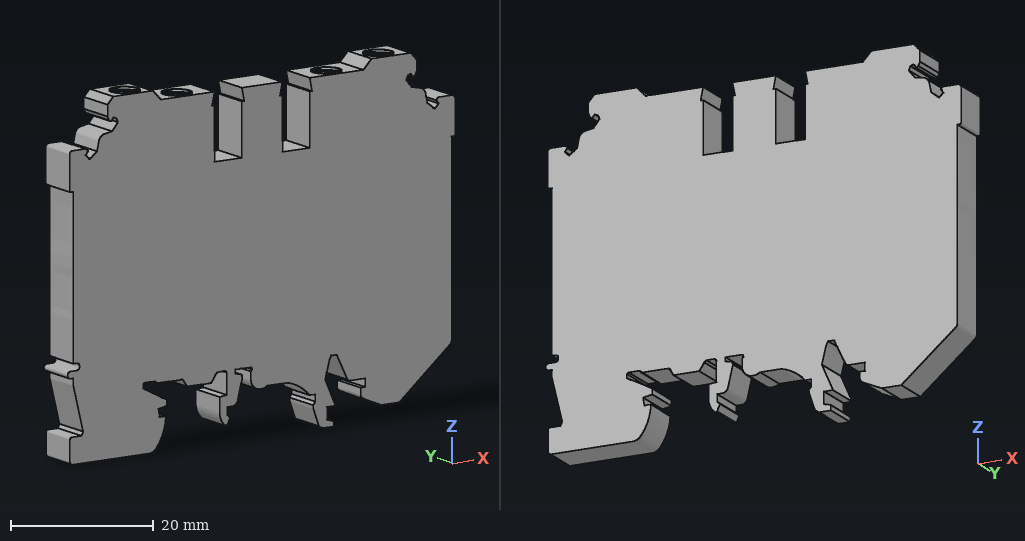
import cadquery as cq
import math

LENGTH = 65.35
THICKNESS = 6.0
HEIGHT = 52.0

MID_X = 32.8
WALL_LEFT = 1.0
WALL_RIGHT = 64.75
HEAD_LEFT = 0.3
HEAD_INNER_X = 19.6
DECK_Z = 50.6
HEAD_BASE_Z = 39.15
HEAD_BASE_ROUND = 0.25
SHOULDER_Z = 45.1
SHOULDER_ROUND = 0.5
CEILING_Z = 10.25
LEDGE_Z = 5.0

SLOT_WIDTH = 4.6
SLOT_PITCH = 11.45
SLOT_FLOOR_Z = 40.5
UNDERCUT_Z = 48.6
UNDERCUT = 0.4

GROOVE_TOP_Z = 14.5
LIP_TOP_Z = 13.45
LIP_BOTTOM_Z = 12.4
GROOVE_END_X = 2.0
FOOT_LEFT = 0.4
FOOT_INNER_X = 13.1
FOOT_ROUND = 0.5
INSTEP_Z = 4.0
INSTEP_ROUND = 0.3

OFFSET_Y = -0.295
SCREW_RADIUS = 2.15
SCREW_SLOT_WIDTH = 1.2
SCREW_SLOT_ANGLE = -45
OUTER_SCREW_DISTANCE = 21.4
INNER_SCREW_DISTANCE = 12.6
ENTRY_INNER_WIDTH = 3.7
SHALLOW = 0.05
WIRE_ENTRIES = [
    {"rim": (29.7, 38.8), "floor": (31.7, 36.85)},
    {"rim": (20.85, 28.05), "floor": (21.9, 26.8)},
]


def prism(outline):
    """Extrude a closed outline drawn in the XZ plane through the full thickness."""
    return outline.close().extrude(THICKNESS / 2, both=True)


def polygon(points):
    return prism(cq.Workplane("XZ").polyline(points))


def mirrored(solid):
    """Reflect a solid across the plane between the two terminal heads."""
    return solid.mirror("YZ", (MID_X, 0, 0))


def housing():
    """Plain middle of the part, leaving room for the terminal heads and the foot."""
    return polygon([
        (FOOT_INNER_X, CEILING_Z),
        (FOOT_INNER_X, LIP_BOTTOM_Z),
        (WALL_LEFT, LIP_BOTTOM_Z),
        (WALL_LEFT, HEAD_BASE_Z),
        (HEAD_INNER_X, HEAD_BASE_Z),
        (HEAD_INNER_X, DECK_Z),
        (2 * MID_X - HEAD_INNER_X, DECK_Z),
        (2 * MID_X - HEAD_INNER_X, HEAD_BASE_Z),
        (WALL_RIGHT, HEAD_BASE_Z),
        (WALL_RIGHT, CEILING_Z),
    ])


def terminal_head(outer_x):
    """Left terminal head with its two marker-latch notches and the rounded step between them."""
    outline = (
        cq.Workplane("XZ")
        .moveTo(HEAD_INNER_X, HEAD_BASE_Z)
        .lineTo(outer_x + HEAD_BASE_ROUND, HEAD_BASE_Z)
        .radiusArc((outer_x, HEAD_BASE_Z + HEAD_BASE_ROUND), HEAD_BASE_ROUND)
        .lineTo(outer_x, SHOULDER_Z - SHOULDER_ROUND)
        .radiusArc((outer_x + SHOULDER_ROUND, SHOULDER_Z), SHOULDER_ROUND)
        .lineTo(2.8, SHOULDER_Z)
        .threePointArc((3.2, 45.0), (3.45, 44.7))
        .lineTo(3.1, 44.2)
        .lineTo(3.7, 43.5)
        .lineTo(4.95, 44.5)
        .lineTo(5.2, 45.75)
        .threePointArc((5.6, 46.5), (6.4, 46.85))
        .lineTo(7.5, 47.05)
        .lineTo(8.5, 48.2)
        .lineTo(8.25, 48.8)
        .lineTo(7.8, 49.0)
        .lineTo(7.3, 48.5)
        .lineTo(7.0, 48.7)
        .lineTo(6.7, 49.3)
        .lineTo(6.7, 51.0)
        .lineTo(7.7, HEIGHT)
        .lineTo(14.4, HEIGHT)
        .lineTo(15.75, DECK_Z)
        .lineTo(HEAD_INNER_X, DECK_Z)
    )
    return prism(outline)


def bridge_slot(center_x):
    """Deck slot whose sides flare below the deck and then step back in."""
    half = SLOT_WIDTH / 2
    right_side = [
        (half, DECK_Z),
        (half + UNDERCUT, UNDERCUT_Z),
        (half, UNDERCUT_Z),
        (half, SLOT_FLOOR_Z),
    ]
    left_side = [(-x, z) for x, z in reversed(right_side)]
    return polygon([(center_x + x, z) for x, z in right_side + left_side])


def foot():
    """Left foot: tapered leg, broad sole and the hook that grips the rail."""
    outline = (
        cq.Workplane("XZ")
        .moveTo(WALL_LEFT, LIP_BOTTOM_Z)
        .lineTo(WALL_LEFT, 11.3)
        .lineTo(2.6, 4.6)
        .lineTo(2.35, INSTEP_Z)
        .lineTo(FOOT_LEFT + INSTEP_ROUND, INSTEP_Z)
        .radiusArc((FOOT_LEFT, INSTEP_Z - INSTEP_ROUND), -INSTEP_ROUND)
        .lineTo(FOOT_LEFT, FOOT_ROUND)
        .radiusArc((FOOT_LEFT + FOOT_ROUND, 0), -FOOT_ROUND)
        .lineTo(13.7, 0)
        .threePointArc((14.5, 0.2), (15.0, 0.65))
        .threePointArc((16.2, 2.9), (16.6, LEDGE_Z))
        .lineTo(15.55, LEDGE_Z)
        .lineTo(15.35, 6.2)
        .lineTo(16.8, 6.5)
        .lineTo(16.8, 7.4)
        .lineTo(12.8, 9.5)
        .lineTo(12.8, 10.05)
        .lineTo(FOOT_INNER_X, CEILING_Z)
        .lineTo(FOOT_INNER_X, LIP_BOTTOM_Z)
    )
    return prism(outline)


def round_ended_bar(start_x, end_x, bottom_z, top_z):
    """Bar along X whose end at `end_x` is a half circle; `end_x` may lie to either side."""
    radius = (top_z - bottom_z) / 2
    arc_x = end_x - math.copysign(radius, end_x - start_x)
    outline = (
        cq.Workplane("XZ")
        .moveTo(start_x, bottom_z)
        .lineTo(arc_x, bottom_z)
        .threePointArc((end_x, bottom_z + radius), (arc_x, top_z))
        .lineTo(start_x, top_z)
    )
    return prism(outline)


def ceiling_step():
    """Two-level pad hanging from the ceiling beside the foot."""
    return polygon([
        (14.8, CEILING_Z),
        (15.1, 9.95),
        (19.4, 9.95),
        (19.85, 9.3),
        (20.1, 8.8),
        (24.2, 8.8),
        (24.6, 9.35),
        (24.95, CEILING_Z - 0.25),
        (25.3, CEILING_Z),
    ])


def left_hook():
    """Slim hook with a pointed tip."""
    outline = (
        cq.Workplane("XZ")
        .moveTo(26.6, CEILING_Z)
        .lineTo(26.85, CEILING_Z - 0.25)
        .lineTo(26.85, 6.8)
        .lineTo(25.6, 6.65)
        .lineTo(25.6, 4.4)
        .threePointArc((25.95, 3.2), (26.65, 2.35))
        .lineTo(27.0, 2.5)
        .lineTo(27.45, 3.5)
        .lineTo(27.0, 3.9)
        .lineTo(27.0, LEDGE_Z)
        .lineTo(27.7, LEDGE_Z)
        .threePointArc((28.35, 5.2), (28.7, 5.7))
        .lineTo(29.5, 9.0)
        .lineTo(29.35, 9.4)
        .lineTo(28.3, 9.7)
        .lineTo(28.3, CEILING_Z)
    )
    return prism(outline)


def center_lug_and_right_hook():
    """Rounded lug and arched web that carry the right-hand rail hook."""
    outline = (
        cq.Workplane("XZ")
        .moveTo(31.0, CEILING_Z)
        .lineTo(31.1, 9.95)
        .lineTo(30.9, 9.7)
        .lineTo(30.9, 8.35)
        .threePointArc((31.45, 7.3), (32.6, 6.9))
        .threePointArc((33.2, 7.0), (33.7, 7.25))
        .lineTo(37.1, 7.25)
        .threePointArc((38.95, 6.55), (40.8, LEDGE_Z))
        .lineTo(41.75, LEDGE_Z)
        .lineTo(41.75, 4.0)
        .lineTo(41.35, 3.5)
        .lineTo(41.4, 3.0)
        .lineTo(42.35, 0.4)
        .lineTo(43.0, 0)
        .lineTo(44.9, 0)
        .lineTo(44.9, 0.8)
        .lineTo(43.8, 1.1)
        .lineTo(43.8, 2.95)
        .lineTo(45.2, 2.95)
        .lineTo(43.45, 6.9)
        .lineTo(44.1, 9.6)
        .lineTo(44.45, CEILING_Z)
    )
    return prism(outline)


def right_block():
    """Lower right corner of the housing with a rail ledge and a sloped underside."""
    outline = (
        cq.Workplane("XZ")
        .moveTo(45.35, CEILING_Z)
        .lineTo(47.2, 6.5)
        .lineTo(47.45, 6.3)
        .lineTo(50.2, 6.3)
        .lineTo(50.2, LEDGE_Z)
        .lineTo(49.4, LEDGE_Z)
        .lineTo(49.4, 4.0)
        .threePointArc((49.55, 3.65), (49.85, 3.4))
        .lineTo(52.9, 2.1)
        .lineTo(55.95, 2.1)
        .lineTo(64.45, 9.3)
        .threePointArc((64.7, 9.6), (WALL_RIGHT, 10.0))
        .lineTo(WALL_RIGHT, CEILING_Z)
    )
    return prism(outline)


def screw_recess(x, top_z):
    """Shallow round recess with a diagonal driver slot sunk into its floor."""
    level = cq.Workplane("XY").workplane(offset=top_z)
    disc = level.circle(SCREW_RADIUS).extrude(-SHALLOW)
    bar = level.rect(3 * SCREW_RADIUS, SCREW_SLOT_WIDTH).extrude(-2 * SHALLOW)
    bar = bar.rotate((0, 0, 0), (0, 0, 1), SCREW_SLOT_ANGLE)
    slot = level.circle(SCREW_RADIUS).extrude(-2 * SHALLOW).intersect(bar)
    return disc.union(slot).translate((x, OFFSET_Y, 0))


def wire_entry(face_x, inward, rim, floor):
    """Shallow rectangular funnel; `inward` is +1 or -1 along X."""
    rim_z = sum(rim) / 2
    floor_z = sum(floor) / 2
    return (
        cq.Workplane("YZ", origin=(face_x, 0, rim_z))
        .rect(THICKNESS, rim[1] - rim[0])
        .workplane(offset=inward * SHALLOW)
        .center(OFFSET_Y, floor_z - rim_z)
        .rect(ENTRY_INNER_WIDTH, floor[1] - floor[0])
        .loft(ruled=True)
    )


body = housing()
body = body.union(terminal_head(HEAD_LEFT))
body = body.union(mirrored(terminal_head(2 * MID_X - LENGTH)))

for feature in (foot(), ceiling_step(), left_hook(), center_lug_and_right_hook(), right_block()):
    body = body.union(feature)
body = body.union(round_ended_bar(GROOVE_END_X, 0, LIP_BOTTOM_Z, LIP_TOP_Z))
body = body.cut(round_ended_bar(0, GROOVE_END_X, LIP_TOP_Z, GROOVE_TOP_Z))

for side in (-1, 1):
    body = body.cut(bridge_slot(MID_X + side * SLOT_PITCH / 2))
    body = body.cut(screw_recess(MID_X + side * OUTER_SCREW_DISTANCE, HEIGHT))
    body = body.cut(screw_recess(MID_X + side * INNER_SCREW_DISTANCE, DECK_Z))
for entry in WIRE_ENTRIES:
    body = body.cut(wire_entry(WALL_LEFT, 1, **entry))
    body = body.cut(wire_entry(WALL_RIGHT, -1, **entry))

result = body